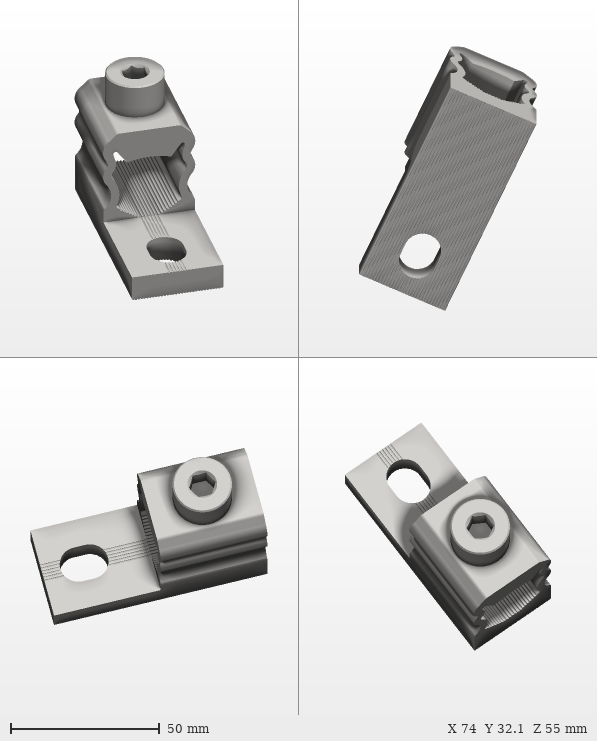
import cadquery as cq
import math

TOTAL_LENGTH = 74.0
BLOCK_LENGTH = 37.0
BLOCK_HEIGHT = 43.0
BASE_HALF_WIDTH = 15.9
BULGE_HALF_WIDTH = 16.03
FLANGE_THICKNESS = 9.0
BASE_EDGE_RADIUS = 0.6
WALL = 2.9

BULGE_RADIUS = 5.1
WAIST_RADIUS = 6.7
NECK_RADIUS = 1.9
BULGE_Z = 26.7
JOINT_ANGLE = 40.0
NECK_LEAN = 28.0
NECK_STRAIGHT = 1.5
SHOULDER_Z = 36.3
BASE_SIDE_TOP_Z = 12.8
WAIST_BOTTOM_Z = 14.1
TOP_HALF_WIDTH = 10.5
FLANK_TOP = (11.4, 42.6)
FLANK_BOTTOM = (13.7, 40.5)

GRIP_PITCH = 1.13
GRIP_DEPTH = 0.5
GRIP_MEAN_Z = 9.05
GRIP_SLOPE = 30.5
FLAT_PITCHES = 3
SLOPE_PITCHES = 7
SLOPE_TOP_Y = 11.04
CAVITY_WAIST_Z = 14.8
RELIEF_RADIUS = 0.85
RELIEF_CENTRE = (11.65, 35.15)
WEDGE_CORNER = (7.7, 31.2)
ROOF_CENTRE_Z = 32.3

BASE_GROOVE_PITCH = 1.0
BASE_GROOVE_COUNT = 31
BASE_GROOVE_RADIUS = 0.25

SCREW_X = BLOCK_LENGTH / 2
SCREW_RADIUS = 10.0
SCREW_TOP_Z = 55.0
SCREW_CHAMFER = 0.5
SCREW_SHOULDER_Z = 29.3
SCREW_TIP_Z = 25.0
SCREW_CONE_ANGLE = 30.0
SOCKET_FLATS = 8.0
SOCKET_DEPTH = 8.0
SOCKET_MOUTH_RADIUS = 5.0

SLOT_X = 59.5
SLOT_LENGTH = 16.5
SLOT_WIDTH = 12.5


def polar(centre, radius, degrees):
    """Point at a distance and direction from a centre in the (Y, Z) plane."""
    angle = math.radians(degrees)
    return (centre[0] + radius * math.cos(angle), centre[1] + radius * math.sin(angle))


def point_left_of(centre, radius, z):
    """Point of a circle at height z, on the side facing the mid-plane."""
    return (centre[0] - math.sqrt(radius**2 - (z - centre[1]) ** 2), z)


BULGE = (BULGE_HALF_WIDTH - BULGE_RADIUS, BULGE_Z)
WAIST = polar(BULGE, BULGE_RADIUS + WAIST_RADIUS, -JOINT_ANGLE)
NECK = polar(BULGE, BULGE_RADIUS + NECK_RADIUS, JOINT_ANGLE)


def clamp_profile():
    """Outside of the block, drawn for +Y and mirrored."""
    neck_top = polar(NECK, NECK_RADIUS, 180 - NECK_LEAN)
    shoulder_bottom = polar(neck_top, NECK_STRAIGHT, 90 - NECK_LEAN)
    return (
        cq.Workplane("YZ")
        .moveTo(0, 0)
        .lineTo(BASE_HALF_WIDTH - BASE_EDGE_RADIUS, 0)
        .tangentArcPoint((BASE_HALF_WIDTH, BASE_EDGE_RADIUS), relative=False)
        .lineTo(BASE_HALF_WIDTH, BASE_SIDE_TOP_Z)
        .tangentArcPoint(point_left_of(WAIST, WAIST_RADIUS, WAIST_BOTTOM_Z), relative=False)
        .threePointArc(polar(WAIST, WAIST_RADIUS, 180), polar(WAIST, WAIST_RADIUS, 180 - JOINT_ANGLE))
        .threePointArc(polar(BULGE, BULGE_RADIUS, 0), polar(BULGE, BULGE_RADIUS, JOINT_ANGLE))
        .threePointArc(polar(NECK, NECK_RADIUS, 180), neck_top)
        .lineTo(*shoulder_bottom)
        .threePointArc((BULGE_HALF_WIDTH, SHOULDER_Z), FLANK_BOTTOM)
        .lineTo(*FLANK_TOP)
        .tangentArcPoint((TOP_HALF_WIDTH, BLOCK_HEIGHT), relative=False)
        .lineTo(0, BLOCK_HEIGHT)
        .mirrorY()
    )


def add_grip_waves(outline, start, slope, first_valley, count):
    """Add valley-and-crest arcs along a line through start, ending after the last valley."""
    amplitude = GRIP_DEPTH / 2
    for i in range(count):
        valley = polar(start, (first_valley + i) * GRIP_PITCH, slope)
        valley_floor = polar(valley, amplitude, slope - 90)
        valley_end = polar(valley, GRIP_PITCH / 4, slope)
        outline = outline.threePointArc(valley_floor, valley_end)
        if i < count - 1:
            crest = polar(valley, GRIP_PITCH / 2, slope)
            crest_top = polar(crest, amplitude, slope + 90)
            outline = outline.threePointArc(crest_top, polar(crest, GRIP_PITCH / 4, slope))
    return outline


def cavity_profile():
    """Wire opening with gripping waves on its floor, drawn for +Y and mirrored."""
    amplitude = GRIP_DEPTH / 2
    floor_centre = (0, GRIP_MEAN_Z)
    slope_start = (FLAT_PITCHES * GRIP_PITCH, GRIP_MEAN_Z)
    slope_end = polar(slope_start, SLOPE_PITCHES * GRIP_PITCH, GRIP_SLOPE)
    last_crest = polar(slope_end, amplitude, GRIP_SLOPE + 90)
    top_rise = (SLOPE_TOP_Y - last_crest[0]) * math.tan(math.radians(GRIP_SLOPE))
    slope_top = (SLOPE_TOP_Y, last_crest[1] + top_rise)

    wave_radius = ((GRIP_PITCH / 4) ** 2 + amplitude**2) / (2 * amplitude)
    centre_crest_axis = (0, GRIP_MEAN_Z + amplitude - wave_radius)
    centre_crest_end = (GRIP_PITCH / 4, GRIP_MEAN_Z)
    crest_end_angle = math.degrees(math.acos(centre_crest_end[0] / wave_radius))

    outline = (
        cq.Workplane("YZ")
        .moveTo(0, GRIP_MEAN_Z + amplitude)
        .threePointArc(polar(centre_crest_axis, wave_radius, (90 + crest_end_angle) / 2), centre_crest_end)
    )
    outline = add_grip_waves(outline, floor_centre, 0, 0.5, FLAT_PITCHES)
    outline = outline.threePointArc(
        polar(slope_start, amplitude, 90 + GRIP_SLOPE / 2),
        polar(slope_start, GRIP_PITCH / 4, GRIP_SLOPE),
    )
    outline = add_grip_waves(outline, slope_start, GRIP_SLOPE, 0.5, SLOPE_PITCHES)

    waist_radius = WAIST_RADIUS + WALL
    bulge_radius = BULGE_RADIUS - WALL
    neck_radius = NECK_RADIUS + WALL
    to_relief = math.atan2(RELIEF_CENTRE[1] - WEDGE_CORNER[1], RELIEF_CENTRE[0] - WEDGE_CORNER[0])
    half_view_angle = math.asin(RELIEF_RADIUS / math.dist(RELIEF_CENTRE, WEDGE_CORNER))
    wedge_angle = math.degrees(to_relief + half_view_angle)
    roof_rise = ROOF_CENTRE_Z - WEDGE_CORNER[1]
    roof_middle = (WEDGE_CORNER[0] / 2, ROOF_CENTRE_Z - roof_rise / 4)
    return (
        outline.tangentArcPoint(last_crest, relative=False)
        .lineTo(*slope_top)
        .tangentArcPoint(point_left_of(WAIST, waist_radius, CAVITY_WAIST_Z), relative=False)
        .threePointArc(polar(WAIST, waist_radius, 180), polar(WAIST, waist_radius, 180 - JOINT_ANGLE))
        .threePointArc(polar(BULGE, bulge_radius, 0), polar(BULGE, bulge_radius, JOINT_ANGLE))
        .threePointArc(polar(NECK, neck_radius, 180), polar(NECK, neck_radius, 180 - NECK_LEAN))
        .lineTo(*polar(RELIEF_CENTRE, RELIEF_RADIUS, -NECK_LEAN))
        .threePointArc(
            polar(RELIEF_CENTRE, RELIEF_RADIUS, 45),
            polar(RELIEF_CENTRE, RELIEF_RADIUS, wedge_angle + 90),
        )
        .lineTo(*WEDGE_CORNER)
        .threePointArc(roof_middle, (0, ROOF_CENTRE_Z))
        .mirrorY()
    )


def clamp_body():
    body = clamp_profile().extrude(TOTAL_LENGTH)
    body = body.cut(cavity_profile().extrude(TOTAL_LENGTH))
    return body.cut(space_above_flange()).cut(base_grooves()).cut(bolt_slot())


def space_above_flange():
    """Region cleared beyond the block, wider than the body so it clears both sides."""
    return (
        cq.Workplane("XZ")
        .moveTo(BLOCK_LENGTH, FLANGE_THICKNESS)
        .lineTo(TOTAL_LENGTH, FLANGE_THICKNESS)
        .lineTo(TOTAL_LENGTH, BLOCK_HEIGHT)
        .lineTo(BLOCK_LENGTH, BLOCK_HEIGHT)
        .close()
        .extrude(2 * BULGE_HALF_WIDTH, both=True)
    )


def base_grooves():
    return (
        cq.Workplane("YZ")
        .rarray(BASE_GROOVE_PITCH, 1, BASE_GROOVE_COUNT, 1)
        .circle(BASE_GROOVE_RADIUS)
        .extrude(TOTAL_LENGTH)
    )


def bolt_slot():
    return cq.Workplane("XY").center(SLOT_X, 0).slot2D(SLOT_LENGTH, SLOT_WIDTH).extrude(FLANGE_THICKNESS)


def screw():
    """Solid of revolution; its half section lies on the -Y side."""
    cone_height = SCREW_SHOULDER_Z - SCREW_TIP_Z
    tip_radius = SCREW_RADIUS - cone_height / math.tan(math.radians(SCREW_CONE_ANGLE))
    return (
        cq.Workplane("YZ")
        .moveTo(0, SCREW_TIP_Z)
        .lineTo(-tip_radius, SCREW_TIP_Z)
        .lineTo(-SCREW_RADIUS, SCREW_SHOULDER_Z)
        .lineTo(-SCREW_RADIUS, SCREW_TOP_Z - SCREW_CHAMFER)
        .lineTo(SCREW_CHAMFER - SCREW_RADIUS, SCREW_TOP_Z)
        .lineTo(0, SCREW_TOP_Z)
        .close()
        .revolve(360, (0, 0), (0, 1))
        .translate((SCREW_X, 0, 0))
    )


def screw_socket():
    """Hexagonal socket, two flats facing +Y and -Y, with a 45 degree conical mouth."""
    flat_radius = SOCKET_FLATS / 2
    mouth_depth = SOCKET_MOUTH_RADIUS - flat_radius
    screw_top = cq.Workplane("XY", origin=(SCREW_X, 0, SCREW_TOP_Z))
    across_corners = SOCKET_FLATS / math.cos(math.radians(30))
    hexagon = screw_top.polygon(6, across_corners).extrude(-SOCKET_DEPTH)
    mouth = screw_top.circle(SOCKET_MOUTH_RADIUS).extrude(-mouth_depth, taper=45)
    return hexagon.union(mouth)


result = clamp_body().union(screw()).cut(screw_socket())